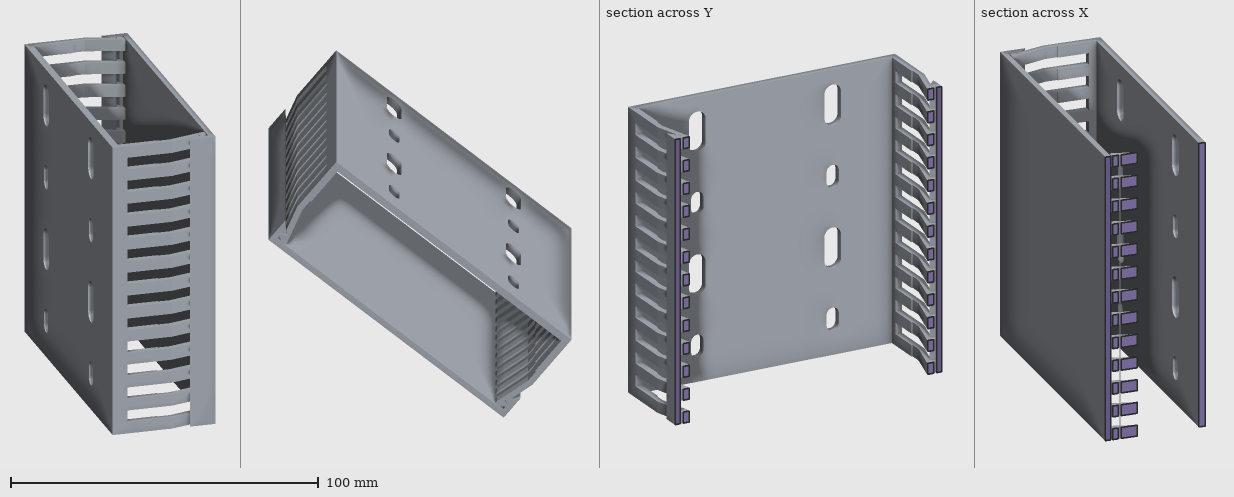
import cadquery as cq
import math


width = 98.5
depth = 35.0
length = 100.0
half_width = width / 2

base_thickness = 2.4
wall_thickness = 2.4
finger_thickness = 2.0
step_y = 15.9
bend_y = 20.2
lean_angle = 15.5
head_width_inset = 5.3

lid_thickness = 2.0
lid_wall_thickness = 2.0
lid_underside_y = depth - lid_thickness
lip_end_y = 26.3

tip_gap = 0.3
finger_tip_y = lid_underside_y - tip_gap

head_corner_inset = 3.4
barb_point = (1.2, 31.1)
undercut_point = (3.7, 30.1)
catch_point = (3.3, 29.9)

gap_count = 12
gap_pitch = 8.0
gap_width = 4.0
gap_floor_y = 5.0

slot_spacing = 50.0
large_slot_width = 6.2
large_slot_length = 14.2
large_slot_top_z = 87.5
small_slot_width = 4.5
small_slot_length = 8.0
small_slot_top_z = 62.5

lean = math.tan(math.radians(lean_angle))
inner_bend_y = bend_y - finger_thickness * math.tan(math.radians(lean_angle / 2))
head_base_y = inner_bend_y + (head_width_inset - finger_thickness) / lean

undercut_drop = (undercut_point[0] - (undercut_point[1] - bend_y) * lean) / (1 - lean)
undercut_root = (undercut_point[0] - undercut_drop, undercut_point[1] - undercut_drop)


def y_on_line(start, end, inset):
    """Y at the given inset on the straight line through start and end."""
    return start[1] + (end[1] - start[1]) * (inset - start[0]) / (end[0] - start[0])


def symmetric_extrusion(left_outline):
    """Extrude an outline given for the left half, as (inset, Y), together with its mirror image."""
    left = [(inset - half_width, y) for inset, y in left_outline]
    right = [(-x, y) for x, y in reversed(left)]
    return cq.Workplane("XY").polyline(left + right).close().extrude(length)


def finger_gaps():
    """Cutters through both side walls, open at the finger tips."""
    gap_height = depth - gap_floor_y
    first_z = length / 2 - gap_pitch * (gap_count - 1) / 2
    centres = [(0, gap_floor_y + gap_height / 2, first_z + i * gap_pitch) for i in range(gap_count)]
    return cq.Workplane("XY").pushPoints(centres).box(width, gap_height, gap_width, combine=False)


def mounting_slots(slot_length, slot_width, top_z):
    """Cutters for a two by two set of upright slots through the base."""
    half_spacing = slot_spacing / 2
    centres = [(x, z) for x in (-half_spacing, half_spacing) for z in (top_z, top_z - slot_spacing)]
    return (
        cq.Workplane("XZ")
        .pushPoints(centres)
        .slot2D(slot_length, slot_width, 90)
        .extrude(-base_thickness)
    )


def make_channel():
    outline = [
        (wall_thickness, base_thickness),
        (wall_thickness, step_y),
        (finger_thickness, step_y),
        (finger_thickness, inner_bend_y),
        (head_width_inset, head_base_y),
        (head_width_inset, finger_tip_y),
        (head_corner_inset, finger_tip_y),
        barb_point,
        undercut_point,
        undercut_root,
        (0, bend_y),
        (0, 0),
    ]
    channel = symmetric_extrusion(outline)
    channel = channel.cut(finger_gaps())
    channel = channel.cut(mounting_slots(large_slot_length, large_slot_width, large_slot_top_z))
    return channel.cut(mounting_slots(small_slot_length, small_slot_width, small_slot_top_z))


def make_lid():
    head_corner = (head_corner_inset, finger_tip_y)
    groove_top_y = y_on_line(barb_point, head_corner, lid_wall_thickness)
    outline = [
        (lid_wall_thickness, lid_underside_y),
        (lid_wall_thickness, groove_top_y),
        barb_point,
        catch_point,
        (0, lip_end_y),
        (0, depth),
    ]
    return symmetric_extrusion(outline)


channel = make_channel()
lid = make_lid()

result = cq.Compound.makeCompound([channel.val(), lid.val()])